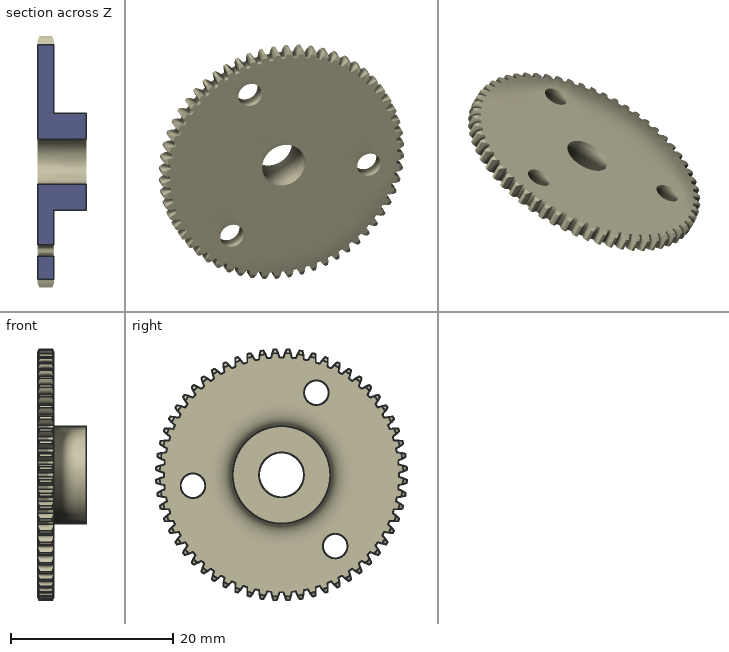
import cadquery as cq
import math

MODULE = 0.5
TOOTH_COUNT = 60
PRESSURE_ANGLE = math.radians(20)
PITCH_RADIUS = MODULE * TOOTH_COUNT / 2
TIP_RADIUS = PITCH_RADIUS + MODULE
ROOT_RADIUS = PITCH_RADIUS - MODULE
BASE_RADIUS = PITCH_RADIUS * math.cos(PRESSURE_ANGLE)
TOOTH_PITCH = 2 * math.pi / TOOTH_COUNT
TOOTH_THINNING = 0.02

GEAR_WIDTH = 2.0
TIP_CHAMFER_WIDTH = 0.2
TIP_CHAMFER_DEPTH = TIP_RADIUS - PITCH_RADIUS
HUB_DIAMETER = 12.0
HUB_LENGTH = 4.0
TOTAL_LENGTH = GEAR_WIDTH + HUB_LENGTH

BORE_DIAMETER = 5.5
WEB_HOLE_DIAMETER = 3.0
WEB_HOLE_CIRCLE_RADIUS = 11.0
WEB_HOLE_COUNT = 3
FIRST_WEB_HOLE_ANGLE = 67.0


def involute(angle):
    return math.tan(angle) - angle


def tooth_half_angle(radius):
    """Angle between the tooth centre line and an involute flank at a given radius."""
    pitch_half_angle = TOOTH_PITCH / 4 - TOOTH_THINNING / (2 * PITCH_RADIUS)
    local_pressure_angle = math.acos(BASE_RADIUS / radius)
    return pitch_half_angle + involute(PRESSURE_ANGLE) - involute(local_pressure_angle)


def polar(radius, angle):
    return (radius * math.cos(angle), radius * math.sin(angle))


def toothed_prism():
    """Toothed outline extruded to the gear width, with tooth gaps centred on the Y and Z axes.

    Each flank is two flats meeting at the pitch circle, with their ends on the involute.
    """
    root_half = tooth_half_angle(ROOT_RADIUS)
    pitch_half = tooth_half_angle(PITCH_RADIUS)
    tip_half = tooth_half_angle(TIP_RADIUS)

    outline = cq.Workplane("YZ").moveTo(*polar(ROOT_RADIUS, TOOTH_PITCH / 2 - root_half))
    for tooth in range(TOOTH_COUNT):
        centre = (tooth + 0.5) * TOOTH_PITCH
        gap_centre = centre + TOOTH_PITCH / 2
        next_root = centre + TOOTH_PITCH - root_half
        outline = (
            outline
            .lineTo(*polar(PITCH_RADIUS, centre - pitch_half))
            .lineTo(*polar(TIP_RADIUS, centre - tip_half))
            .threePointArc(polar(TIP_RADIUS, centre), polar(TIP_RADIUS, centre + tip_half))
            .lineTo(*polar(PITCH_RADIUS, centre + pitch_half))
            .lineTo(*polar(ROOT_RADIUS, centre + root_half))
            .threePointArc(polar(ROOT_RADIUS, gap_centre), polar(ROOT_RADIUS, next_root))
        )
    return outline.close().extrude(GEAR_WIDTH)


def chamfered_blank():
    """Disc turned about X whose rim is bevelled toward both faces."""
    shoulder_radius = TIP_RADIUS - TIP_CHAMFER_DEPTH
    half_section = (
        cq.Workplane("XY")
        .moveTo(0, 0)
        .lineTo(0, shoulder_radius)
        .lineTo(TIP_CHAMFER_WIDTH, TIP_RADIUS)
        .lineTo(GEAR_WIDTH - TIP_CHAMFER_WIDTH, TIP_RADIUS)
        .lineTo(GEAR_WIDTH, shoulder_radius)
        .lineTo(GEAR_WIDTH, 0)
        .close()
    )
    return half_section.revolve(360, (0, 0, 0), (1, 0, 0))


def hub():
    return cq.Workplane("YZ").workplane(offset=GEAR_WIDTH).circle(HUB_DIAMETER / 2).extrude(HUB_LENGTH)


def bore():
    return cq.Workplane("YZ").circle(BORE_DIAMETER / 2).extrude(TOTAL_LENGTH)


def web_holes():
    return (
        cq.Workplane("YZ")
        .polarArray(WEB_HOLE_CIRCLE_RADIUS, FIRST_WEB_HOLE_ANGLE, 360, WEB_HOLE_COUNT)
        .circle(WEB_HOLE_DIAMETER / 2)
        .extrude(GEAR_WIDTH)
    )


gear = toothed_prism().intersect(chamfered_blank())
result = gear.union(hub()).cut(bore()).cut(web_holes())